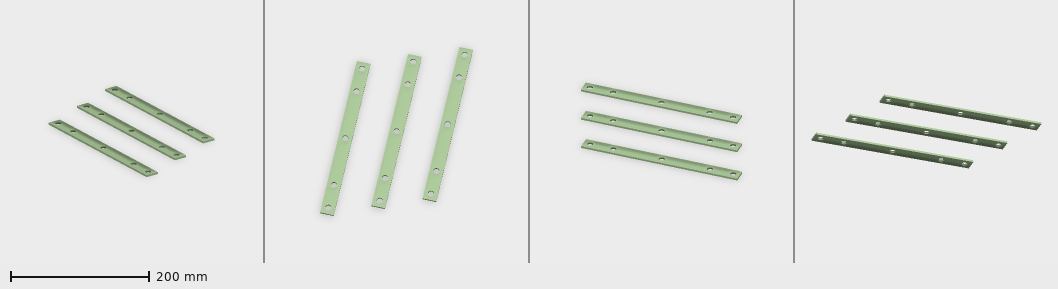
import cadquery as cq

overall_length = 296.0
overall_width = 160.0
bar_count = 3

bar_stagger = 27.0
bar_width = 20.0
bar_thickness = 3.0
bar_length = overall_length - (bar_count - 1) * bar_stagger
bar_pitch = (overall_width - bar_width) / (bar_count - 1)

hole_diameter = 9.0
inner_hole_offset = 75.0
outer_hole_offset = 111.0
hole_positions = [
    (-outer_hole_offset, 0),
    (-inner_hole_offset, 0),
    (0, 0),
    (inner_hole_offset, 0),
    (outer_hole_offset, 0),
]


def make_flat_bar(center_x, center_y):
    """Flat rectangular bar with five through holes, resting on Z = 0."""
    bar = cq.Workplane("XY").box(bar_length, bar_width, bar_thickness, centered=(True, True, False))
    bar = bar.faces(">Z").workplane().pushPoints(hole_positions).hole(hole_diameter)
    return bar.translate((center_x, center_y, 0))


flat_bars = []
for index in range(bar_count):
    steps_from_middle = index - (bar_count - 1) / 2
    flat_bar = make_flat_bar(steps_from_middle * bar_stagger, -steps_from_middle * bar_pitch)
    flat_bars.append(flat_bar)

result = cq.Compound.makeCompound([flat_bar.val() for flat_bar in flat_bars])